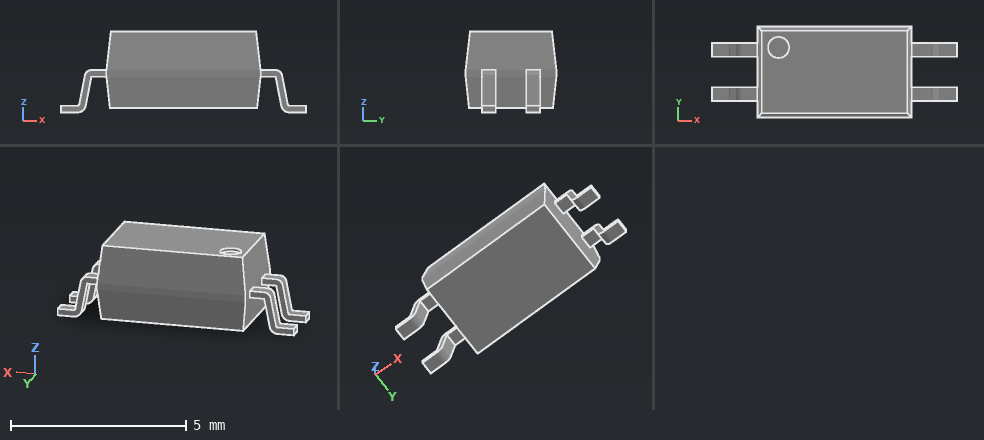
import cadquery as cq
import math

housing_length = 4.4
housing_width = 2.6
housing_top = 2.32
housing_bottom = 0.125
top_inset = 0.125
bottom_inset = 0.1

mark_radius = 0.3
mark_depth = 0.1
mark_x = -1.595
mark_y = 0.7

lead_span = 7.0
lead_width = 0.4
lead_pitch = 1.27
lead_thickness = 0.195
lead_top = 1.22
lead_underside = lead_top - lead_thickness
shoulder_bend_x = 2.625
foot_inner_radius = 0.05
foot_outer_radius = foot_inner_radius + lead_thickness
leg_lean = math.radians(11)


def tapered_block(start_z, height, inset):
    """Block shrinking by inset on every side from start_z; a negative height runs down."""
    return (
        cq.Workplane("XY", origin=(0, 0, start_z))
        .rect(housing_length, housing_width)
        .workplane(offset=height)
        .rect(housing_length - 2 * inset, housing_width - 2 * inset)
        .loft(combine=True, ruled=True)
    )


def make_housing():
    band = (
        cq.Workplane("XY", origin=(0, 0, lead_underside))
        .rect(housing_length, housing_width)
        .extrude(lead_thickness)
    )
    upper = tapered_block(lead_top, housing_top - lead_top, top_inset)
    lower = tapered_block(lead_underside, housing_bottom - lead_underside, bottom_inset)
    mark = (
        cq.Workplane("XY", origin=(mark_x, mark_y, housing_top))
        .circle(mark_radius)
        .extrude(-mark_depth)
    )
    return band.union(upper).union(lower).cut(mark)


def arc_point(center, radius, angle):
    """Point on an arc in the XZ plane, with the angle measured from +X toward +Z."""
    return (center[0] + radius * math.cos(angle), center[1] + radius * math.sin(angle))


def make_lead(y_center):
    """Lead on the +X side, ending flush against the housing band."""
    shoulder = (shoulder_bend_x, lead_underside)
    foot_bend_z = foot_outer_radius
    bend_drop = lead_underside - foot_bend_z
    bend_run = (foot_outer_radius + bend_drop * math.sin(leg_lean)) / math.cos(leg_lean)
    foot_bend = (shoulder_bend_x + bend_run, foot_bend_z)

    up = math.pi / 2
    down = -math.pi / 2
    shoulder_end = leg_lean
    foot_start = math.pi + leg_lean
    foot_end = 2 * math.pi + down
    shoulder_mid = (up + shoulder_end) / 2
    foot_mid = (foot_start + foot_end) / 2

    housing_face = housing_length / 2
    foot_tip = lead_span / 2
    profile = (
        cq.Workplane("XZ", origin=(0, y_center, 0))
        .moveTo(housing_face, lead_top)
        .lineTo(*arc_point(shoulder, lead_thickness, up))
        .threePointArc(
            arc_point(shoulder, lead_thickness, shoulder_mid),
            arc_point(shoulder, lead_thickness, shoulder_end),
        )
        .lineTo(*arc_point(foot_bend, foot_inner_radius, foot_start))
        .threePointArc(
            arc_point(foot_bend, foot_inner_radius, foot_mid),
            arc_point(foot_bend, foot_inner_radius, foot_end),
        )
        .lineTo(foot_tip, lead_thickness)
        .lineTo(foot_tip, 0)
        .lineTo(*arc_point(foot_bend, foot_outer_radius, foot_end))
        .threePointArc(
            arc_point(foot_bend, foot_outer_radius, foot_mid),
            arc_point(foot_bend, foot_outer_radius, foot_start),
        )
        .lineTo(*shoulder)
        .lineTo(housing_face, lead_underside)
        .close()
    )
    return profile.extrude(lead_width / 2, both=True)


housing = make_housing()

leads = []
for y_center in (-lead_pitch / 2, lead_pitch / 2):
    lead = make_lead(y_center)
    leads.append(lead.val())
    leads.append(lead.mirror("YZ").val())

result = cq.Compound.makeCompound([housing.val(), *leads])